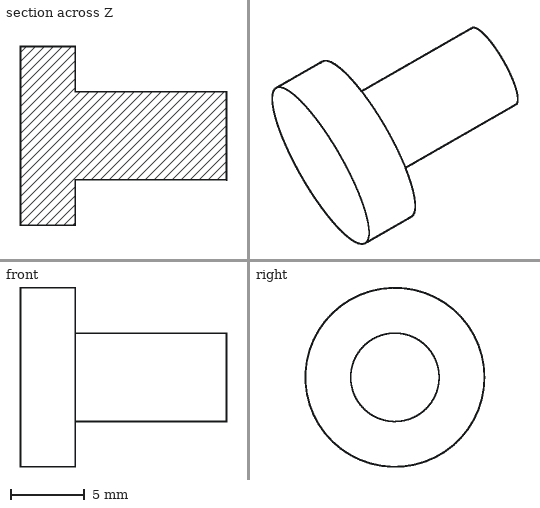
import cadquery as cq

overall_length = 14.0
head_diameter = 12.17
head_thickness = 3.74
shank_diameter = 6.0
shank_length = overall_length - head_thickness

head = cq.Workplane("YZ").circle(head_diameter / 2).extrude(head_thickness)

result = head.faces(">X").workplane().circle(shank_diameter / 2).extrude(shank_length)